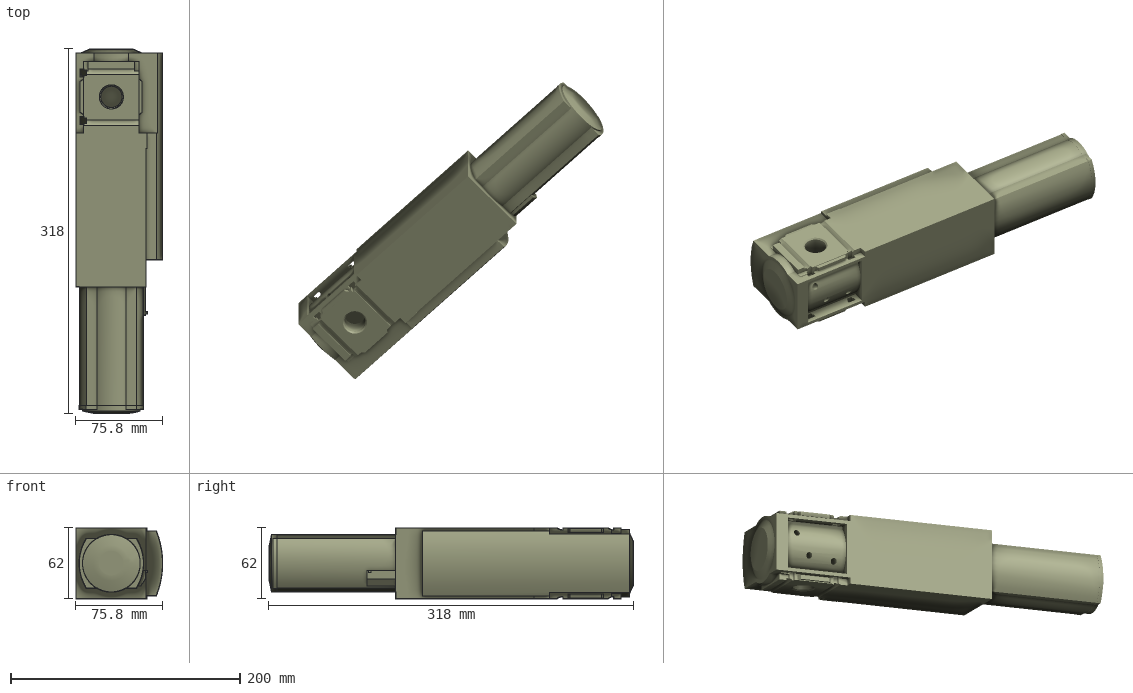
import math

import cadquery as cq


AXIS_X = 31.0
MODULE_SIZE = 62.0
HALF_HEIGHT = MODULE_SIZE / 2
HEAD_TOP_Y = 31.0
HEAD_BOTTOM_Y = -31.5
CAP_Y = 38.4
DOME_Y = 41.7
COLLAR_Y = -45.0
BLOCK_WIDTH = 61.3
BLOCK_Y = -165.8

FRAME_HALF_HEIGHT = 25.5
HEAD_LEFT_X = 6.75
HEAD_RIGHT_X = 55.2

COVER_FLAT_X = 70.2
COVER_CREST_X = 75.8
COVER_HALF_HEIGHT = 28.4
COVER_END_Y = -142.3

POCKET_TOP_Y = 27.7
POCKET_BOTTOM_Y = -28.4
POCKET_HALF_HEIGHT = 22.5
POCKET_DEPTH = 10.4
TUBE_RADIUS = 29.0
TUBE_HOLE_DIAMETER = 5.5
TUBE_HOLE_DEPTH = 20.0
TUBE_HOLES_YZ = [(17.4, 10.8), (6.0, -8.6), (-17.6, -11.3)]

CAP_RADIUS = 29.6
DOME_BASE_RADIUS = 26.3
DOME_TOP_RADIUS = 19.0

PORT_DIAMETER = 18.63
PORT_MOUTH_DIAMETER = 21.0
PORT_CHAMFER = (PORT_MOUTH_DIAMETER - PORT_DIAMETER) / 2
PORT_DEPTH = 20.0

GROOVE_WALLS_Y = [24.4, -20.0]
GROOVE_WIDTH = 5.0
GROOVE_DEPTH = 1.8

NOTCH_WIDTH = 4.0
NOTCH_Y = 22.4
NOTCH_FLOOR_Z = 26.2

LUG_HALF_LENGTH = 15.6
LUG_CHAMFER_LENGTH = 2.0
LUG_LEFT_DEPTH = 3.0
LUG_RIGHT_DEPTH = 2.5
LUG_BOTTOM_Z = 26.8
LUG_TOP_Z = 30.4

CLIP_X = 3.75
CLIP_WIDTH = 3.2
CLIP_LENGTH = 7.0
CLIP_TAIL_WIDTH = 2.2
CLIP_TAIL_LENGTH = 4.8
CLIP_CENTRES_Y = [21.0, -20.7]

KNOB_DIAMETER = 50.4
KNOB_RADIUS = KNOB_DIAMETER / 2
KNOB_FLAT_Z = 21.8
KNOB_FLAT_HALF_WIDTH = 22.0
KNOB_HALF_WIDTH = 28.2
KNOB_SHANK_INSET = 0.2
KNOB_BAND_Y = -269.3
KNOB_GRIP_Y = -272.7
KNOB_ROUND_Y = -274.1
KNOB_TIP_Y = -276.3
KNOB_TIP_RADIUS = 10.75
KNOB_DOME_MID = (19.5, -275.6)

TAB_OUTLINE_XZ = [(56.0, -6.5), (60.8, -6.5), (60.8, -13.5), (56.5, -20.0), (53.5, -20.0)]
TAB_END_Y = -190.7
TAB_STOP_END_Y = -189.5
TAB_STOP_X = 62.5
TAB_STOP_THICKNESS = 2.0
TAB_STOP_Z = (-8.0, -6.5)


def box(x_range, y_range, z_range):
    """Axis-aligned box between the given pairs of limits, low before high."""
    lows, highs = zip(x_range, y_range, z_range)
    sizes = [high - low for low, high in zip(lows, highs)]
    return cq.Workplane("XY").box(*sizes, centered=False).translate(lows)


def section_along_y(start_y):
    """Workplane in X and Z whose positive extrusion runs towards -Y."""
    return cq.Workplane("XZ", origin=(0, start_y, 0))


def with_mirror(solid):
    """The solid together with its mirror image in the plane Z = 0."""
    return solid.union(solid.mirror("XY"))


def tube(radius, start_y, end_y):
    """Round bar on the long axis."""
    return section_along_y(start_y).center(AXIS_X, 0).circle(radius).extrude(start_y - end_y)


def make_cover():
    """Crowned side cover, lower beside the head than beside the block."""
    length = CAP_Y - COVER_END_Y
    cover = (
        section_along_y(CAP_Y)
        .moveTo(BLOCK_WIDTH, -COVER_HALF_HEIGHT)
        .lineTo(COVER_FLAT_X, -COVER_HALF_HEIGHT)
        .threePointArc((COVER_CREST_X, 0), (COVER_FLAT_X, COVER_HALF_HEIGHT))
        .lineTo(BLOCK_WIDTH, COVER_HALF_HEIGHT)
        .close()
        .extrude(length)
    )
    step = box((0, COVER_CREST_X), (HEAD_BOTTOM_Y, CAP_Y), (FRAME_HALF_HEIGHT, COVER_HALF_HEIGHT))
    return cover.cut(with_mirror(step))


def make_cap():
    """Round cap at the head end, closed by a shallow cone with a flat top."""
    cone = (
        cq.Workplane("XY")
        .moveTo(0, CAP_Y)
        .lineTo(DOME_BASE_RADIUS, CAP_Y)
        .lineTo(DOME_TOP_RADIUS, DOME_Y)
        .lineTo(0, DOME_Y)
        .close()
        .revolve(360, (0, 0, 0), (0, 1, 0))
        .translate((AXIS_X, 0, 0))
    )
    return tube(CAP_RADIUS, CAP_Y, HEAD_TOP_Y).union(cone)


def make_side_pocket():
    """Pocket in the -X face that leaves a drilled round tube standing inside."""
    pocket = box(
        (0, POCKET_DEPTH),
        (POCKET_BOTTOM_Y, POCKET_TOP_Y),
        (-POCKET_HALF_HEIGHT, POCKET_HALF_HEIGHT),
    )
    pocket = pocket.cut(tube(TUBE_RADIUS, HEAD_TOP_Y, HEAD_BOTTOM_Y))
    holes = (
        cq.Workplane("YZ")
        .pushPoints(TUBE_HOLES_YZ)
        .circle(TUBE_HOLE_DIAMETER / 2)
        .extrude(TUBE_HOLE_DEPTH)
    )
    return pocket.union(holes)


def make_port():
    """Blind port with a chamfered mouth."""
    return (
        cq.Workplane("XY", origin=(AXIS_X, 0, HALF_HEIGHT))
        .circle(PORT_DIAMETER / 2)
        .extrude(-PORT_DEPTH)
        .union(
            cq.Workplane("XY", origin=(AXIS_X, 0, HALF_HEIGHT))
            .circle(PORT_MOUTH_DIAMETER / 2)
            .workplane(offset=-PORT_CHAMFER)
            .circle(PORT_DIAMETER / 2)
            .loft()
        )
    )


def make_groove(wall_y):
    """Cross groove with an upright wall and a floor curving up to the face."""
    floor_z = HALF_HEIGHT - GROOVE_DEPTH
    end_y = wall_y - GROOVE_WIDTH
    radius = (GROOVE_WIDTH**2 + GROOVE_DEPTH**2) / (2 * GROOVE_DEPTH)
    half_angle = math.asin(GROOVE_WIDTH / radius) / 2
    mid_y = wall_y - radius * math.sin(half_angle)
    mid_z = floor_z + radius * (1 - math.cos(half_angle))
    return (
        cq.Workplane("YZ", origin=(HEAD_LEFT_X, 0, 0))
        .moveTo(wall_y, HALF_HEIGHT)
        .lineTo(wall_y, floor_z)
        .threePointArc((mid_y, mid_z), (end_y, HALF_HEIGHT))
        .close()
        .extrude(HEAD_RIGHT_X - HEAD_LEFT_X)
    )


def make_lug(root_x, tip_x):
    """Low bevelled lug on a flank of the head."""
    tip_y = LUG_HALF_LENGTH - LUG_CHAMFER_LENGTH
    return (
        cq.Workplane("XY", origin=(0, 0, LUG_BOTTOM_Z))
        .polyline([
            (root_x, -LUG_HALF_LENGTH),
            (tip_x, -tip_y),
            (tip_x, tip_y),
            (root_x, LUG_HALF_LENGTH),
        ])
        .close()
        .extrude(LUG_TOP_Z - LUG_BOTTOM_Z)
    )


def make_clip_opening(centre_y):
    """Stepped opening through the frame wall and the edge of the head."""
    z_range = (POCKET_HALF_HEIGHT, HALF_HEIGHT)
    inner_x = CLIP_X + CLIP_WIDTH
    mouth_y = (centre_y - CLIP_LENGTH / 2, centre_y + CLIP_LENGTH / 2)
    tail_y = (centre_y - CLIP_TAIL_LENGTH / 2, centre_y + CLIP_TAIL_LENGTH / 2)
    mouth = box((CLIP_X, inner_x), mouth_y, z_range)
    return mouth.union(box((inner_x, inner_x + CLIP_TAIL_WIDTH), tail_y, z_range))


def make_head():
    """Frame, head module, collar and cap, with everything cut into them."""
    frame = box((0, MODULE_SIZE), (HEAD_BOTTOM_Y, CAP_Y), (-FRAME_HALF_HEIGHT, FRAME_HALF_HEIGHT))
    core = box((HEAD_LEFT_X, HEAD_RIGHT_X), (HEAD_BOTTOM_Y, HEAD_TOP_Y), (-HALF_HEIGHT, HALF_HEIGHT))
    collar = box((0, MODULE_SIZE), (COLLAR_Y, HEAD_BOTTOM_Y), (-HALF_HEIGHT, HALF_HEIGHT))
    head = frame.union(core).union(collar).union(make_cap())

    cuts = make_port()
    for wall_y in GROOVE_WALLS_Y:
        cuts = cuts.union(make_groove(wall_y))
    for left_x in (HEAD_LEFT_X, HEAD_RIGHT_X - NOTCH_WIDTH):
        notch = box((left_x, left_x + NOTCH_WIDTH), (NOTCH_Y, HEAD_TOP_Y), (NOTCH_FLOOR_Z, HALF_HEIGHT))
        cuts = cuts.union(notch)
    for centre_y in CLIP_CENTRES_Y:
        cuts = cuts.union(make_clip_opening(centre_y))
    head = head.cut(with_mirror(cuts)).cut(make_side_pocket())

    left_lug = make_lug(HEAD_LEFT_X, HEAD_LEFT_X - LUG_LEFT_DEPTH)
    right_lug = make_lug(HEAD_RIGHT_X, HEAD_RIGHT_X + LUG_RIGHT_DEPTH)
    return head.union(with_mirror(left_lug)).union(with_mirror(right_lug))


def make_grip(start_y, end_y, inset):
    """Length of the grip: a bar with flats at top and bottom and bowed sides, shrunk by the inset."""
    side_x = KNOB_HALF_WIDTH - inset
    corner_x = KNOB_FLAT_HALF_WIDTH - inset
    flat_z = KNOB_FLAT_Z - inset
    return (
        section_along_y(start_y)
        .center(AXIS_X, 0)
        .moveTo(-corner_x, -flat_z)
        .lineTo(corner_x, -flat_z)
        .threePointArc((side_x, 0), (corner_x, flat_z))
        .lineTo(-corner_x, flat_z)
        .threePointArc((-side_x, 0), (-corner_x, -flat_z))
        .close()
        .extrude(start_y - end_y)
    )


def make_knob():
    """Round knob with bowed grips, a slightly larger end band and a shallow domed end."""
    shank_grip = make_grip(BLOCK_Y, KNOB_BAND_Y, KNOB_SHANK_INSET)
    shank_barrel = tube(KNOB_RADIUS - KNOB_SHANK_INSET, BLOCK_Y, KNOB_BAND_Y)
    band_grip = make_grip(KNOB_BAND_Y, KNOB_GRIP_Y, 0)
    band_barrel = (
        cq.Workplane("XY")
        .moveTo(0, KNOB_BAND_Y)
        .lineTo(KNOB_RADIUS, KNOB_BAND_Y)
        .lineTo(KNOB_RADIUS, KNOB_ROUND_Y)
        .threePointArc(KNOB_DOME_MID, (KNOB_TIP_RADIUS, KNOB_TIP_Y))
        .lineTo(0, KNOB_TIP_Y)
        .close()
        .revolve(360, (0, 0, 0), (0, 1, 0))
        .translate((AXIS_X, 0, 0))
    )
    return shank_grip.union(shank_barrel).union(band_grip).union(band_barrel)


def make_locking_tab():
    """Tab lying against the knob, with a small stop at its free end."""
    tab = section_along_y(BLOCK_Y).polyline(TAB_OUTLINE_XZ).close().extrude(BLOCK_Y - TAB_END_Y)
    stop_y = (TAB_STOP_END_Y, TAB_STOP_END_Y + TAB_STOP_THICKNESS)
    stop = box((AXIS_X + KNOB_RADIUS, TAB_STOP_X), stop_y, TAB_STOP_Z)
    return tab.union(stop)


block = box((0, BLOCK_WIDTH), (BLOCK_Y, COLLAR_Y), (-HALF_HEIGHT, HALF_HEIGHT))

result = make_head().union(make_cover()).union(block).union(make_knob()).union(make_locking_tab())